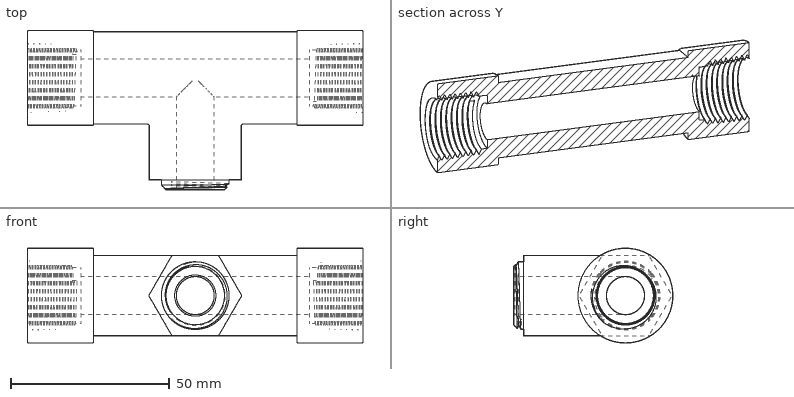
import cadquery as cq
import math

run_length = 106.0
collar_diameter = 30.0
collar_length = 20.9
collar_edge_radius = 0.3

hex_across_flats = 25.4
hex_edge_radius = 0.5
hex_across_corners = hex_across_flats / math.cos(math.radians(30))

overall_depth = 50.4
branch_tip = overall_depth - collar_diameter / 2
spigot_length = 3.2
branch_hex_length = branch_tip - spigot_length
spigot_radius = 10.7
spigot_bevel = 1.5

passage_diameter = 12.0
passage_lead_in = 0.5

thread_pitch = 1.8
thread_depth = 1.6
thread_half_angle = 27.5
taper_slope = 1 / 32
thread_overlap = 0.1
socket_mouth_radius = 9.3
socket_depth = 17.0
socket_thread_length = 14.8
socket_groove_phase = 38.0
spigot_groove_start = 1.3
spigot_groove_phase = 225.0
spigot_groove_depth = 1.3
spigot_thread_turns = 1.5


def hex_bar(length):
    """Hexagonal bar along +Z with two corners on the X axis."""
    return cq.Workplane("XY").polygon(6, hex_across_corners).extrude(length)


def helical_groove(mouth_radius, apex_radius, height):
    """V-shaped helical cutter climbing +Z from the origin, narrowing with the pipe taper."""
    half_width = abs(apex_radius - mouth_radius) * math.tan(math.radians(thread_half_angle))
    taper_angle = -math.degrees(math.atan(taper_slope))
    path = cq.Wire.makeHelix(thread_pitch, height, mouth_radius, angle=taper_angle)
    profile = cq.Workplane("XZ").polyline(
        [(mouth_radius, -half_width), (apex_radius, 0), (mouth_radius, half_width)]
    ).close()
    return profile.sweep(cq.Workplane(path), isFrenet=True)


def threaded_socket():
    """Cone and thread cutters for one female end: mouth at the origin, running in along +Z."""
    bottom_radius = socket_mouth_radius - socket_depth * taper_slope
    cone = cq.Workplane("XY").add(
        cq.Solid.makeCone(socket_mouth_radius, bottom_radius, socket_depth)
    )
    start_radius = socket_mouth_radius + thread_pitch * taper_slope
    groove = helical_groove(
        start_radius - thread_overlap,
        start_radius + thread_depth,
        socket_thread_length + thread_pitch,
    )
    groove = groove.rotate((0, 0, 0), (0, 0, 1), socket_groove_phase)
    return cone, groove.translate((0, 0, -thread_pitch))


def to_left_end(shape):
    """Lay a +Z shape along +X with its base at the left end of the run."""
    return shape.rotate((0, 0, 0), (0, 1, 0), 90).translate((-run_length / 2, 0, 0))


def to_right_end(shape):
    return to_left_end(shape).rotate((0, 0, 0), (0, 0, 1), 180)


def to_branch(shape):
    """Lay a +Z shape along -Y."""
    return shape.rotate((0, 0, 0), (1, 0, 0), 90)


run_hex = to_left_end(hex_bar(run_length - 2 * collar_length).rotate((0, 0, 0), (0, 0, 1), 90))
run_hex = run_hex.translate((collar_length, 0, 0))
collar = (
    cq.Workplane("XY")
    .circle(collar_diameter / 2)
    .extrude(collar_length)
    .edges()
    .fillet(collar_edge_radius)
)
body = run_hex.union(to_branch(hex_bar(branch_hex_length)))
body = body.edges("not (<X or >X or <Y)").fillet(hex_edge_radius)
body = body.union(to_left_end(collar)).union(to_right_end(collar))

spigot = (
    cq.Workplane("XY")
    .workplane(offset=branch_hex_length)
    .circle(spigot_radius)
    .extrude(spigot_length)
    .faces(">Z")
    .chamfer(spigot_bevel)
)
spigot_groove = helical_groove(
    spigot_radius + thread_overlap,
    spigot_radius - spigot_groove_depth,
    spigot_thread_turns * thread_pitch,
)
spigot_groove = spigot_groove.rotate((0, 0, 0), (0, 0, 1), spigot_groove_phase)
spigot_groove = spigot_groove.translate((0, 0, branch_hex_length + spigot_groove_start))
body = body.union(to_branch(spigot.cut(spigot_groove)))

run_passage = cq.Workplane("XY").circle(passage_diameter / 2).extrude(run_length)
branch_passage = cq.Workplane("XY").circle(passage_diameter / 2).extrude(branch_tip)
lead_in = cq.Workplane("XY").add(
    cq.Solid.makeCone(passage_diameter / 2, passage_diameter / 2 + passage_lead_in, passage_lead_in)
)
lead_in = lead_in.translate((0, 0, branch_tip - passage_lead_in))
body = body.cut(to_left_end(run_passage)).cut(to_branch(branch_passage)).cut(to_branch(lead_in))

socket_cone, socket_groove = threaded_socket()
for place in (to_left_end, to_right_end):
    body = body.cut(place(socket_cone)).cut(place(socket_groove))

result = body